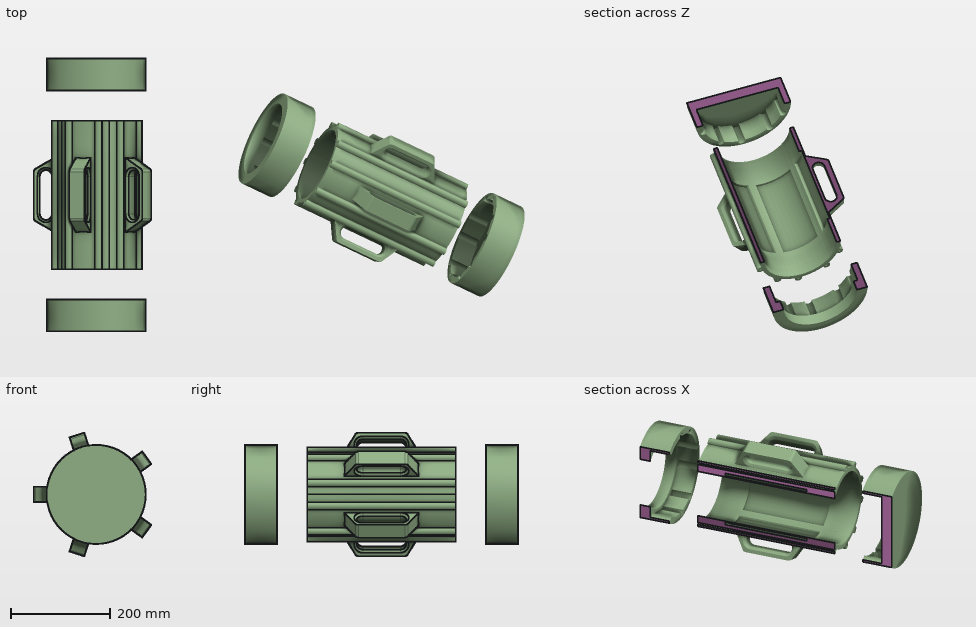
import cadquery as cq
import math

TOTAL_LENGTH = 550.0
CAP_DIAMETER = 200.0
CAP_LENGTH = 65.0
TUBE_LENGTH = 300.0

STAVE_COUNT = 5
STAVE_ANGLE = 360 / STAVE_COUNT
FIRST_STAVE_ANGLE = 36
TUBE_OUTER_RADIUS = 85.0
TUBE_INNER_RADIUS = 76.5

BOSS_DIAMETER = 15.0
BOSS_CENTRE_HEIGHT = 82.5
BOSS_CENTRE_OFFSET = 31.5
SCREW_HOLE_DIAMETER = 5.05

RECESS_LENGTH = 176.0
RECESS_WIDTH = 76.0
RECESS_FLOOR_RADIUS = 82.0

HANDLE_TOP_HEIGHT = 126.0
HANDLE_ROOT_HEIGHT = 82.0
HANDLE_ROOT_LENGTH = 152.5
HANDLE_WIDTH = 31.5
HANDLE_END_SLOPE = 30
HANDLE_CORNER_RADIUS = 7.0
SLOT_CENTRE_HEIGHT = 101.0
SLOT_WIDTH = 24.0
SLOT_STRAIGHT_LENGTH = 76.0
SLOT_CHAMFER = 5.0

SOCKET_DIAMETER = 172.5
SOCKET_DEPTH = 42.0
CAP_BORE_DIAMETER = 155.0

CAP_CENTRE = (TOTAL_LENGTH - CAP_LENGTH) / 2
CAP_INNER_FACE = TOTAL_LENGTH / 2 - CAP_LENGTH


def rod(diameter, length, centre_y=0.0):
    """Cylinder along the Y axis."""
    end_plane = cq.Workplane("XZ", origin=(0, centre_y + length / 2, 0))
    return end_plane.circle(diameter / 2).extrude(length)


def turned(body, angle):
    """Turn a body about the Y axis, from +X toward +Z."""
    return body.rotate((0, 0, 0), (0, 1, 0), -angle)


def boss_lines(diameter, length, centre_y=0.0):
    """Two round rods on the boss centre lines beside the +X direction."""
    end_plane = cq.Workplane("XZ", origin=(0, centre_y + length / 2, 0))
    centres = [(BOSS_CENTRE_HEIGHT, side * BOSS_CENTRE_OFFSET) for side in (1, -1)]
    return end_plane.pushPoints(centres).circle(diameter / 2).extrude(length)


def wall_sector():
    """One stave's share of the tube wall, before boring."""
    half_angle = math.radians(STAVE_ANGLE / 2)
    edge_x = TUBE_OUTER_RADIUS * math.cos(half_angle)
    edge_z = TUBE_OUTER_RADIUS * math.sin(half_angle)
    outline = cq.Workplane("XZ", origin=(0, TUBE_LENGTH / 2, 0)).lineTo(edge_x, -edge_z)
    outline = outline.threePointArc((TUBE_OUTER_RADIUS, 0), (edge_x, edge_z)).close()
    return outline.extrude(TUBE_LENGTH)


def handle_slot():
    """Slot that widens by a chamfer at both faces of the handle."""
    straight = (
        cq.Workplane("XY", origin=(SLOT_CENTRE_HEIGHT, 0, 0))
        .slot2D(SLOT_STRAIGHT_LENGTH + SLOT_WIDTH, SLOT_WIDTH, 90)
        .extrude(HANDLE_WIDTH / 2, both=True)
    )
    mouth_width = SLOT_WIDTH + 2 * SLOT_CHAMFER
    mouth = (
        cq.Workplane("XY", origin=(SLOT_CENTRE_HEIGHT, 0, HANDLE_WIDTH / 2))
        .slot2D(SLOT_STRAIGHT_LENGTH + mouth_width, mouth_width, 90)
        .extrude(-SLOT_CHAMFER, taper=45)
    )
    return straight.union(mouth).union(mouth.mirror("XY"))


def handle():
    """Tapered handle with a chamfered through slot, pointing along +X."""
    root_half = HANDLE_ROOT_LENGTH / 2
    rise = HANDLE_TOP_HEIGHT - HANDLE_ROOT_HEIGHT
    top_half = root_half - rise * math.tan(math.radians(HANDLE_END_SLOPE))
    block = (
        cq.Workplane("XY")
        .moveTo(HANDLE_ROOT_HEIGHT, -root_half)
        .lineTo(HANDLE_TOP_HEIGHT, -top_half)
        .lineTo(HANDLE_TOP_HEIGHT, top_half)
        .lineTo(HANDLE_ROOT_HEIGHT, root_half)
        .close()
        .extrude(HANDLE_WIDTH / 2, both=True)
    )
    block = block.edges("|Z").edges(">X").fillet(HANDLE_CORNER_RADIUS)
    return block.cut(handle_slot())


def recess():
    """Round-floored recess along the inside of the wall, facing +X."""
    sides = cq.Workplane("XY").box(
        RECESS_FLOOR_RADIUS, RECESS_LENGTH, RECESS_WIDTH, centered=(False, True, True)
    )
    return sides.intersect(rod(2 * RECESS_FLOOR_RADIUS, RECESS_LENGTH))


def stave():
    """One stave of the tube with its bosses and handle, pointing along +X."""
    body = wall_sector().union(boss_lines(BOSS_DIAMETER, TUBE_LENGTH)).union(handle())
    body = body.cut(rod(2 * TUBE_INNER_RADIUS, TUBE_LENGTH))
    body = body.cut(recess())
    return body.cut(boss_lines(SCREW_HOLE_DIAMETER, TUBE_LENGTH))


def stave_angles():
    """Direction of each stave's middle, from +X toward +Z."""
    return [FIRST_STAVE_ANGLE + i * STAVE_ANGLE for i in range(STAVE_COUNT)]


def cap(side):
    """Cap with a socket shaped like the tube end; side is +1 or -1 along Y."""
    body = rod(CAP_DIAMETER, CAP_LENGTH, side * CAP_CENTRE)
    socket_centre = side * (CAP_INNER_FACE + SOCKET_DEPTH / 2)
    body = body.cut(rod(SOCKET_DIAMETER, SOCKET_DEPTH, socket_centre))
    notches = boss_lines(BOSS_DIAMETER, SOCKET_DEPTH, socket_centre)
    for angle in stave_angles():
        body = body.cut(turned(notches, angle))
    return body


closed_cap = cap(-1)
open_cap = cap(1).cut(rod(CAP_BORE_DIAMETER, CAP_LENGTH, CAP_CENTRE))
one_stave = stave()
staves = [turned(one_stave, angle) for angle in stave_angles()]

result = cq.Compound.makeCompound([closed_cap.val(), open_cap.val(), *[s.val() for s in staves]])